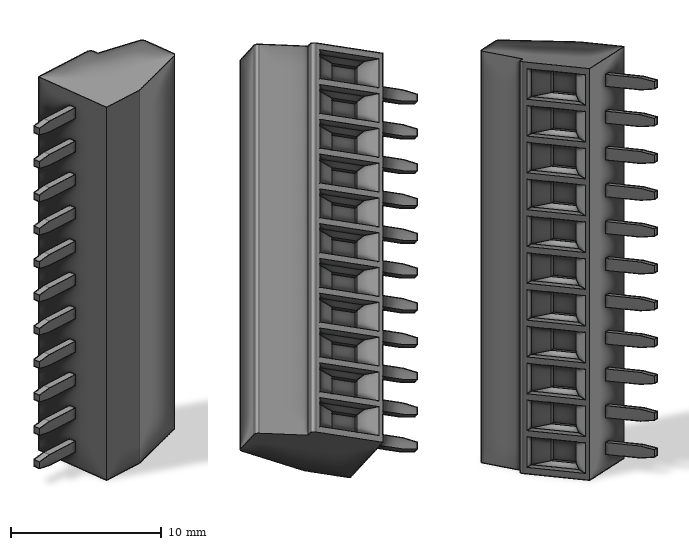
import cadquery as cq

length = 28.4
width = 6.2
housing_depth = 8.5
step_depth = 5.08
step_width = 0.68
back_left = 1.6
back_right = 4.6
bevel_start = 3.25
corner_radius = 0.3

terminals = 11
end_margin = 1.5
pitch = (length - 2 * end_margin) / (terminals - 1)

entry_front = 0.28
entry_back = 4.5
entry_height = 2.1
seat_front = 1.42
seat_back = 3.2
seat_height = 1.48
mouth_depth = 0.77
funnel_depth = 0.37
seat_depth = 0.37

pin_length = 3.52
pin_width = 0.5
pin_height = 0.82
pin_tip_length = 1.0
pin_tip_height = 0.5


def make_housing():
    """Stepped and bevelled block with rounded outer corners."""
    block = (
        cq.Workplane("XY")
        .polyline([
            (0, 0),
            (width, 0),
            (width, bevel_start),
            (back_right, housing_depth),
            (back_left, housing_depth),
            (step_width, step_depth),
            (0, step_depth),
        ])
        .close()
        .extrude(length)
    )
    rounded_corners = [
        (0, step_depth),
        (back_left, housing_depth),
        (back_right, housing_depth),
    ]
    for x, y in rounded_corners:
        edge = cq.selectors.NearestToPointSelector((x, y, length / 2))
        block = block.edges(edge).fillet(corner_radius)
    return block


def make_entry(z):
    """Cutter for one wire entry: straight mouth, tapered funnel, straight seat."""
    funnel_end = mouth_depth + funnel_depth
    bottom = funnel_end + seat_depth
    side_outline = (
        cq.Workplane("XY", origin=(0, 0, z - entry_height / 2))
        .polyline([
            (0, entry_front),
            (funnel_end, seat_front),
            (bottom, seat_front),
            (bottom, seat_back),
            (funnel_end, seat_back),
            (mouth_depth, entry_back),
            (0, entry_back),
        ])
        .close()
        .extrude(entry_height)
    )
    height_outline = (
        cq.Workplane("XZ")
        .polyline([
            (0, z - entry_height / 2),
            (mouth_depth, z - entry_height / 2),
            (funnel_end, z - seat_height / 2),
            (bottom, z - seat_height / 2),
            (bottom, z + seat_height / 2),
            (funnel_end, z + seat_height / 2),
            (mouth_depth, z + entry_height / 2),
            (0, z + entry_height / 2),
        ])
        .close()
        .extrude(-housing_depth)
    )
    return side_outline.intersect(height_outline)


def make_pin(z):
    """Flat pin whose tip narrows in height."""
    shoulder = pin_tip_length - pin_length
    return (
        cq.Workplane("YZ", origin=((width - pin_width) / 2, 0, z))
        .polyline([
            (0, -pin_height / 2),
            (shoulder, -pin_height / 2),
            (-pin_length, -pin_tip_height / 2),
            (-pin_length, pin_tip_height / 2),
            (shoulder, pin_height / 2),
            (0, pin_height / 2),
        ])
        .close()
        .extrude(pin_width)
    )


result = make_housing()
for index in range(terminals):
    terminal_z = end_margin + index * pitch
    result = result.cut(make_entry(terminal_z)).union(make_pin(terminal_z))